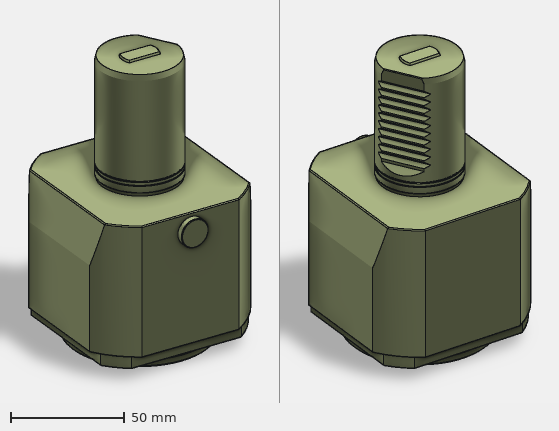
import cadquery as cq
import math


BODY_WIDTH = 84.0
BODY_HEIGHT = 65.0
BODY_FLAT_LENGTH = 50.5
BODY_EDGE_CHAMFER = 0.5
BEVEL_DEPTH = 22.0
BEVEL_INSET = 4.2

COLLAR_WIDTH = 77.0
COLLAR_HEIGHT = 6.2
COLLAR_FLAT_LENGTH = 57.3
COLLAR_EDGE_CHAMFER = 0.5

NECK_DIAMETER = 61.0
NECK_HEIGHT = 2.3
FLANGE_DIAMETER = 70.0
FLANGE_HEIGHT = 3.5
FLANGE_EDGE_CHAMFER = 1.0

SHANK_DIAMETER = 40.0
SHANK_LENGTH = 60.0
SHANK_TIP_INSET = 0.7
SHANK_TIP_HEIGHT = 3.0
RELIEF_DIAMETER = 39.0
RELIEF_HEIGHT = 1.7
SEAL_RING_BOTTOM = 5.0
SEAL_RING_WIDTH = 2.4
SEAL_RING_BEVEL = 0.53

TEETH_DIRECTION = 120.0
TEETH_FLAT_DISTANCE = 17.0
TOOTH_PITCH = 4.0
TOOTH_DEPTH = 1.65
TOOTH_COUNT = 10
LOWEST_TOOTH_ROOT = 16.1
RAMP_START = 13.0
TEETH_FLAT_TOP_CHAMFER = 0.4

TONGUE_WIDTH = 8.6
TONGUE_DIAMETER = 18.4
TONGUE_HEIGHT = 1.0
TONGUE_INSET = 0.5

BUTTON_DIAMETER = 14.0
BUTTON_STEM_DIAMETER = 12.0
BUTTON_REACH = 3.85
BUTTON_STEM_LENGTH = 0.6
BUTTON_CHAMFER = 0.35
BUTTON_Z = -8.7

COLLAR_TOP = -BODY_HEIGHT
NECK_TOP = COLLAR_TOP - COLLAR_HEIGHT
FLANGE_TOP = NECK_TOP - NECK_HEIGHT
OVERLAP = 1.0


def rounded_block(width, flat_length, top, height):
    """Square prism hanging from `top`, its corners trimmed by a coaxial cylinder."""
    corner_radius = math.hypot(width / 2, flat_length / 2)
    square = cq.Workplane("XY").workplane(offset=top).rect(width, width).extrude(-height)
    cylinder = cq.Workplane("XY").workplane(offset=top).circle(corner_radius).extrude(-height)
    return square.intersect(cylinder)


def disc(diameter, bottom, height):
    return cq.Workplane("XY").workplane(offset=bottom).circle(diameter / 2).extrude(height)


def make_body():
    block = rounded_block(BODY_WIDTH, BODY_FLAT_LENGTH, 0, BODY_HEIGHT)
    half = BODY_WIDTH / 2
    bevelled_profile = (
        cq.Workplane("YZ")
        .polyline([
            (-half, -BODY_HEIGHT),
            (half, -BODY_HEIGHT),
            (half, -BEVEL_DEPTH),
            (half - BEVEL_INSET, 0),
            (BEVEL_INSET - half, 0),
            (-half, -BEVEL_DEPTH),
        ])
        .close()
        .extrude(half, both=True)
    )
    return block.intersect(bevelled_profile).faces("|Z").edges().chamfer(BODY_EDGE_CHAMFER)


def make_base():
    collar = rounded_block(COLLAR_WIDTH, COLLAR_FLAT_LENGTH, COLLAR_TOP, COLLAR_HEIGHT)
    collar = collar.faces("<Z").edges().chamfer(COLLAR_EDGE_CHAMFER)
    neck = disc(NECK_DIAMETER, FLANGE_TOP - OVERLAP, NECK_HEIGHT + 2 * OVERLAP)
    flange = disc(FLANGE_DIAMETER, FLANGE_TOP - FLANGE_HEIGHT, FLANGE_HEIGHT)
    flange = flange.faces("<Z").edges().chamfer(FLANGE_EDGE_CHAMFER)
    return collar.union(neck).union(flange)


def make_shank():
    """Revolved shank; a seal ring with bevelled edges sits flush in its surface."""
    radius = SHANK_DIAMETER / 2
    bevel_radius = radius - SEAL_RING_BEVEL
    ring_top = SEAL_RING_BOTTOM + SEAL_RING_WIDTH
    return (
        cq.Workplane("XZ")
        .moveTo(0, -OVERLAP)
        .lineTo(RELIEF_DIAMETER / 2, -OVERLAP)
        .lineTo(RELIEF_DIAMETER / 2, RELIEF_HEIGHT)
        .lineTo(radius, RELIEF_HEIGHT)
        .lineTo(radius, SEAL_RING_BOTTOM)
        .lineTo(bevel_radius, SEAL_RING_BOTTOM)
        .lineTo(radius, SEAL_RING_BOTTOM + SEAL_RING_BEVEL)
        .lineTo(radius, ring_top - SEAL_RING_BEVEL)
        .lineTo(bevel_radius, ring_top)
        .lineTo(radius, ring_top)
        .lineTo(radius, SHANK_LENGTH - SHANK_TIP_HEIGHT)
        .lineTo(radius - SHANK_TIP_INSET, SHANK_LENGTH)
        .lineTo(0, SHANK_LENGTH)
        .close()
        .revolve(360, (0, 0, 0), (0, 1, 0))
    )


def make_teeth_cutter():
    """Space outside the toothed flat, drawn facing +X and turned to its direction."""
    outside = SHANK_DIAMETER / 2 + OVERLAP
    root_distance = TEETH_FLAT_DISTANCE - TOOTH_DEPTH
    ramp_run = outside - TEETH_FLAT_DISTANCE
    top = SHANK_LENGTH + OVERLAP
    points = [
        (outside, top),
        (outside, RAMP_START - ramp_run),
        (TEETH_FLAT_DISTANCE, RAMP_START),
    ]
    for index in range(TOOTH_COUNT):
        root_z = LOWEST_TOOTH_ROOT + index * TOOTH_PITCH
        points.append((TEETH_FLAT_DISTANCE, root_z - TOOTH_DEPTH))
        points.append((root_distance, root_z))
        points.append((TEETH_FLAT_DISTANCE, root_z + TOOTH_DEPTH))
    points.append((TEETH_FLAT_DISTANCE, SHANK_LENGTH - TEETH_FLAT_TOP_CHAMFER))
    points.append((TEETH_FLAT_DISTANCE - TEETH_FLAT_TOP_CHAMFER - OVERLAP, top))
    cutter = cq.Workplane("XZ").polyline(points).close().extrude(SHANK_DIAMETER / 2, both=True)
    return cutter.rotate((0, 0, 0), (0, 0, 1), TEETH_DIRECTION)


def make_tongue():
    """Bar with round ends, its sides sloping inwards over the full height."""
    radius = TONGUE_DIAMETER / 2
    half_width = TONGUE_WIDTH / 2
    side_end = math.sqrt(radius**2 - half_width**2)
    slope_angle = math.degrees(math.atan2(TONGUE_INSET, TONGUE_HEIGHT))
    return (
        cq.Workplane("XY")
        .workplane(offset=SHANK_LENGTH)
        .moveTo(half_width, -side_end)
        .lineTo(half_width, side_end)
        .threePointArc((0, radius), (-half_width, side_end))
        .lineTo(-half_width, -side_end)
        .threePointArc((0, -radius), (half_width, -side_end))
        .close()
        .extrude(TONGUE_HEIGHT, taper=slope_angle)
    )


def make_button():
    side = cq.Workplane("YZ").center(0, BUTTON_Z)
    stem_start = BODY_WIDTH / 2 - OVERLAP
    stem_length = BUTTON_STEM_LENGTH + 2 * OVERLAP
    head_start = BODY_WIDTH / 2 + BUTTON_STEM_LENGTH
    stem = side.workplane(offset=stem_start).circle(BUTTON_STEM_DIAMETER / 2).extrude(stem_length)
    head = (
        side.workplane(offset=head_start)
        .circle(BUTTON_DIAMETER / 2)
        .extrude(BUTTON_REACH - BUTTON_STEM_LENGTH)
        .faces(">X")
        .edges()
        .chamfer(BUTTON_CHAMFER)
    )
    return stem.union(head)


shank = make_shank().cut(make_teeth_cutter())
result = make_body().union(make_base()).union(shank).union(make_tongue()).union(make_button())